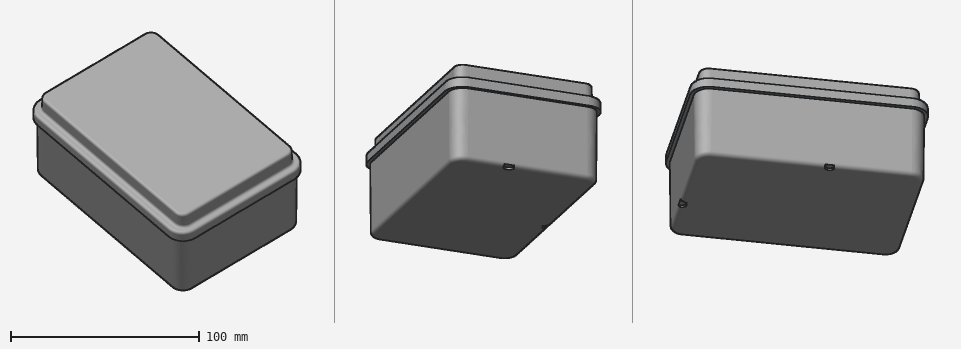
import cadquery as cq
import math

length = 128.5
width = 88.5
height = 56.0
rim_corner_radius = 10.0

joint_height = 41.0
rim_top_height = 47.0

base_inset = 2.0
cover_inset = 4.6

base_edge_radius = 2.5
lid_edge_radius = 1.5
base_draft = 0.5
lid_draft = 1.0

notch_height = 1.3
notch_centre_inset = 1.3
front_notch_x = 10.0
front_notch_diameter = 5.0
side_notch_y = 10.3
side_notch_diameter = 5.9

selection_margin = 0.1


def rounded_block(inset, bottom, top, draft):
    """Rounded rectangle set in from the rim outline at the bottom, leaning inward by the draft."""
    return (
        cq.Workplane("XY", origin=(0, 0, bottom))
        .sketch()
        .rect(length - 2 * inset, width - 2 * inset)
        .vertices()
        .fillet(rim_corner_radius - inset)
        .finalize()
        .extrude(top - bottom, taper=draft)
    )


def notch_cutter(x, y, diameter):
    """Upright cylinder that scoops a notch out of the lower edge."""
    return cq.Workplane("XY").center(x, y).circle(diameter / 2).extrude(notch_height)


def make_base():
    narrowing = joint_height * math.tan(math.radians(base_draft))
    foot_inset = base_inset + narrowing
    base = rounded_block(foot_inset, 0, joint_height, -base_draft)
    base = base.faces("<Z").edges().fillet(base_edge_radius)

    front_notch_y = foot_inset + notch_centre_inset - width / 2
    side_notch_x = foot_inset + notch_centre_inset - length / 2
    base = base.cut(notch_cutter(front_notch_x, front_notch_y, front_notch_diameter))
    return base.cut(notch_cutter(side_notch_x, side_notch_y, side_notch_diameter))


def make_lid():
    rim = rounded_block(0, joint_height, rim_top_height, lid_draft)
    rim = rim.faces(">Z").edges().fillet(lid_edge_radius)
    cover = rounded_block(cover_inset, rim_top_height, height, lid_draft)
    cover = cover.faces(">Z").edges().fillet(lid_edge_radius)

    lid = rim.union(cover)
    reach_x = length / 2 - cover_inset + selection_margin
    reach_y = width / 2 - cover_inset + selection_margin
    foot_region = cq.selectors.BoxSelector(
        (-reach_x, -reach_y, rim_top_height - selection_margin),
        (reach_x, reach_y, rim_top_height + selection_margin),
        boundingbox=True,
    )
    return lid.edges(foot_region).fillet(lid_edge_radius)


base = make_base()
lid = make_lid()

result = cq.Compound.makeCompound([base.val(), lid.val()])